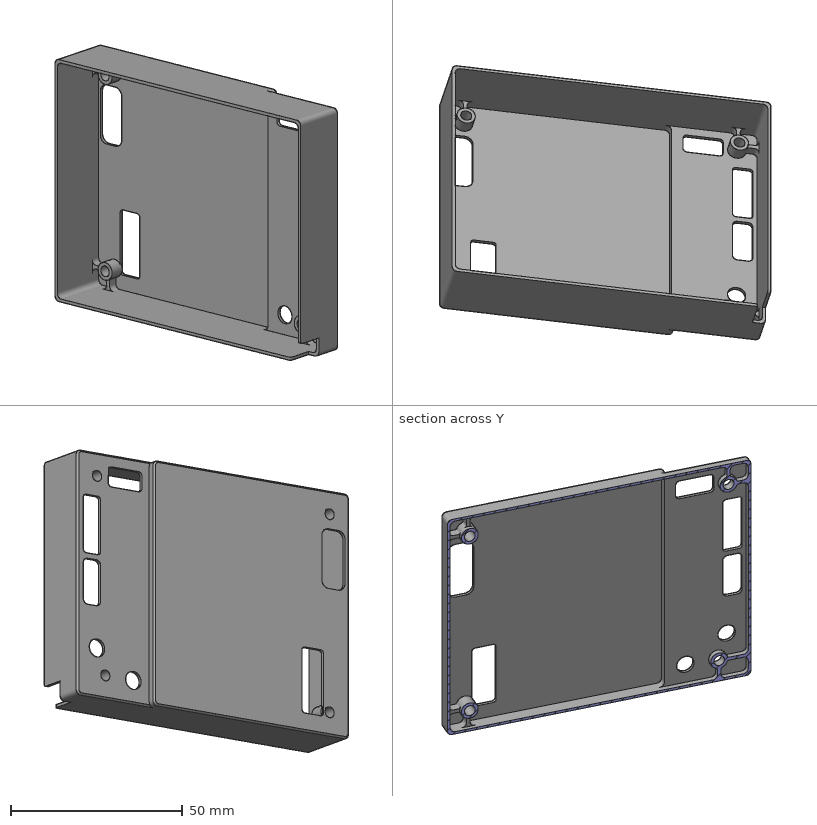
import cadquery as cq
import math

length = 95.0
height = 74.0
depth = 19.5
wall = 0.95
floor = 1.0
corner_radius = 1.5
back_chamfer = 0.6

step_depth = 2.5
step_x = 21.9

boss_x = 40.5
boss_z = 29.9
short_boss_x = 37.5
boss_diameter = 5.4
screw_hole_diameter = 3.2
boss_height = 4.2
rib_height = 2.85
rib_thickness = 1.1
wall_flare = 1.4
boss_flare = 0.8

notch_x = 43.6
notch_z = -31.2
notch_depth = 8.1
notch_edge_radius = 0.8

windows = [
    (-41.8, 16.4, 8.3, 18.05, 2.5),
    (-34.5, -21.5, 7.6, 19.95, 1.0),
    (30.5, 30.4, 12.0, 6.1, 1.2),
    (42.3, 15.0, 6.1, 17.7, 1.0),
    (42.3, -2.4, 6.1, 13.9, 1.5),
]
round_holes = [(boss_x, -22.0), (27.55, -boss_z)]
round_hole_diameter = 5.4

front_y = -depth / 2
back_y = depth / 2
low_back_y = back_y - step_depth
cavity_y = 0.0


def rounded_block(x_min, x_max, size_z, radius, y_min, y_max):
    """Block between two Y planes, centred on Z = 0, with rounded edges along Y."""
    size = (x_max - x_min, y_max - y_min, size_z)
    center = ((x_min + x_max) / 2, (y_min + y_max) / 2, 0)
    return cq.Workplane("XY").box(*size).edges("|Y").fillet(radius).translate(center)


def outer_block(x_max, y_max):
    """Solid outer form, from the open front to a chamfered back face."""
    block = rounded_block(-length / 2, x_max, height, corner_radius, front_y, y_max)
    return block.faces(">Y").chamfer(back_chamfer)


def inner_block(x_max, y_max):
    """Cavity form that leaves the wall and floor thickness of the matching outer block."""
    return rounded_block(
        -length / 2 + wall, x_max - wall, height - 2 * wall, corner_radius, front_y, y_max - floor
    )


def cylinder(x, z, diameter, y_min, y_max):
    """Round bar along Y."""
    plane = cq.Workplane("XZ", origin=(x, y_min, z))
    return plane.circle(diameter / 2).extrude(y_min - y_max)


def rib(reach, y_min, y_max):
    """Rib along +X from a boss centred on the Y axis to a wall, flared at both ends by arcs."""
    half = rib_thickness / 2
    boss_radius = boss_diameter / 2
    arc_z = half + boss_flare
    arc_x = math.sqrt((boss_radius + boss_flare) ** 2 - arc_z**2)
    touch = boss_radius / (boss_radius + boss_flare)
    upper_half = (
        cq.Workplane("XZ", origin=(0, y_max, 0))
        .moveTo(0, 0)
        .lineTo(arc_x * touch, arc_z * touch)
        .radiusArc((arc_x, half), -boss_flare)
        .lineTo(reach - wall_flare, half)
        .radiusArc((reach, half + wall_flare), -wall_flare)
        .lineTo(reach + wall / 2, half + wall_flare)
        .lineTo(reach + wall / 2, 0)
        .close()
        .extrude(y_max - y_min)
    )
    return upper_half.union(upper_half.mirror("XY"))


def boss_with_ribs(x, z, floor_y):
    """Screw boss standing on the inner floor, with one rib to each of the two nearest walls."""
    base_y = floor_y + floor / 2
    rib_top_y = floor_y - rib_height
    side_rib = rib(length / 2 - wall - abs(x), rib_top_y, base_y)
    end_rib = rib(height / 2 - wall - abs(z), rib_top_y, base_y)
    side_angle = 0 if x > 0 else 180
    end_angle = -90 if z > 0 else 90
    ribs = side_rib.rotate((0, 0, 0), (0, 1, 0), side_angle)
    ribs = ribs.union(end_rib.rotate((0, 0, 0), (0, 1, 0), end_angle))
    boss = cylinder(x, z, boss_diameter, floor_y - boss_height, base_y)
    return boss.union(ribs.translate((x, 0, z)))


result = outer_block(length / 2, low_back_y).union(outer_block(step_x, back_y))
result = result.cut(inner_block(length / 2, low_back_y)).cut(inner_block(step_x, back_y))

for x, z, size_x, size_z, radius in windows:
    window = rounded_block(-size_x / 2, size_x / 2, size_z, radius, cavity_y, back_y)
    result = result.cut(window.translate((x, 0, z)))
for x, z in round_holes:
    result = result.cut(cylinder(x, z, round_hole_diameter, cavity_y, back_y))

notch = cq.Workplane("XY").box(length, notch_depth, height, centered=False)
result = result.cut(notch.translate((notch_x, front_y, notch_z - height)))
notch_edges = [
    (notch_x, front_y, (wall - height) / 2),
    ((length - wall) / 2, front_y, notch_z),
]
for edge_point in notch_edges:
    result = result.edges(cq.selectors.NearestToPointSelector(edge_point)).fillet(notch_edge_radius)

for x, z in [(-boss_x, boss_z), (-boss_x, -boss_z), (boss_x, boss_z), (short_boss_x, -boss_z)]:
    floor_y = (back_y if x < step_x else low_back_y) - floor
    result = result.union(boss_with_ribs(x, z, floor_y))
    result = result.cut(cylinder(x, z, screw_hole_diameter, front_y, back_y))